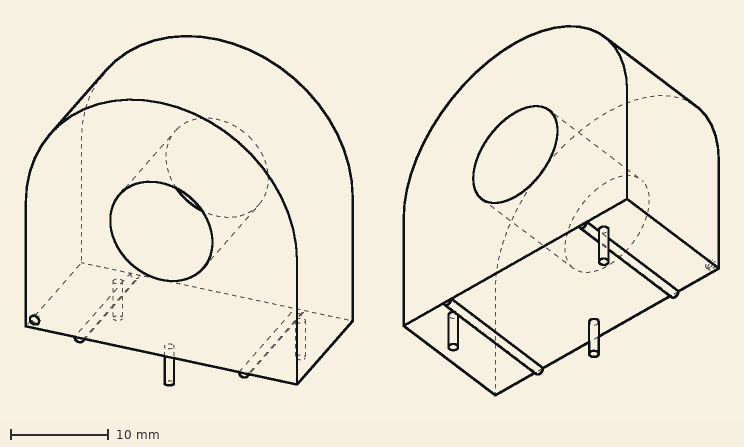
import cadquery as cq

TOTAL_HEIGHT = 34.0
WIDTH = 30.2
DEPTH = 14.3
BORE_DIAMETER = 11.4
PIN_LENGTH = 4.32
ARCH_RADIUS = WIDTH / 2
ARCH_CENTER_Z = TOTAL_HEIGHT - ARCH_RADIUS
HOUSING_BOTTOM_Z = PIN_LENGTH
FRONT_Y = -DEPTH / 2

PIN_DIAMETER = 1.0
PIN_OFFSET_X = 10.15
PIN_OFFSET_Y = 5.1
PIN_POSITIONS = [
    (-PIN_OFFSET_X, PIN_OFFSET_Y),
    (0, -PIN_OFFSET_Y),
    (PIN_OFFSET_X, PIN_OFFSET_Y),
]

RAIL_RADIUS = 0.5
RAIL_OFFSET_X = 9.15

MARKER_DIAMETER = 1.02
MARKER_DEPTH = 0.35
MARKER_X = -14.1
MARKER_Z = HOUSING_BOTTOM_Z + 0.95


def make_marker():
    """Disc whose outer face lies in the front face of the housing."""
    return (
        cq.Workplane("XZ", origin=(MARKER_X, FRONT_Y, MARKER_Z))
        .circle(MARKER_DIAMETER / 2)
        .extrude(-MARKER_DEPTH)
    )


def make_housing():
    """Arch-topped block with a concentric bore and a recess for the marker."""
    block = (
        cq.Workplane("XZ", origin=(0, FRONT_Y, 0))
        .moveTo(-ARCH_RADIUS, HOUSING_BOTTOM_Z)
        .lineTo(ARCH_RADIUS, HOUSING_BOTTOM_Z)
        .lineTo(ARCH_RADIUS, ARCH_CENTER_Z)
        .threePointArc((0, TOTAL_HEIGHT), (-ARCH_RADIUS, ARCH_CENTER_Z))
        .close()
        .extrude(-DEPTH)
    )
    bore = (
        cq.Workplane("XZ", origin=(0, FRONT_Y, ARCH_CENTER_Z))
        .circle(BORE_DIAMETER / 2)
        .extrude(-DEPTH)
    )
    return block.cut(bore).cut(make_marker())


def make_pin(x, y):
    """Round pin hanging from the underside of the housing."""
    return cq.Workplane("XY", origin=(x, y, 0)).circle(PIN_DIAMETER / 2).extrude(PIN_LENGTH)


def make_rail(x):
    """Half-round rail running the full depth of the housing."""
    return (
        cq.Workplane("XZ", origin=(x, FRONT_Y, HOUSING_BOTTOM_Z))
        .moveTo(-RAIL_RADIUS, 0)
        .threePointArc((0, -RAIL_RADIUS), (RAIL_RADIUS, 0))
        .close()
        .extrude(-DEPTH)
    )


housing = make_housing()
marker = make_marker()
pins = [make_pin(x, y) for x, y in PIN_POSITIONS]
rails = [make_rail(side * RAIL_OFFSET_X) for side in (-1, 1)]

result = cq.Compound.makeCompound(
    [housing.val(), marker.val()]
    + [pin.val() for pin in pins]
    + [rail.val() for rail in rails]
)